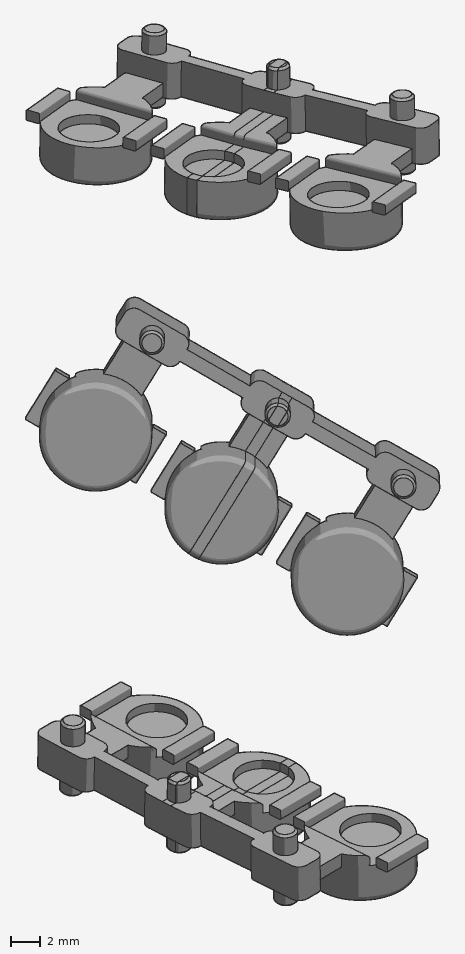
import cadquery as cq

pitch = 10.0
bend_angle = 1.0
strip_width = 0.78

cup_diameter = 7.7
deck_z = 3.0
cup_bottom_fillet = 0.45
pocket_diameter = 4.2
pocket_depth = 0.7
pocket_y = -0.98

wing_span = 8.82
wing_width = 1.07
wing_length = 4.05
wing_bottom_z = 2.85
wing_top_z = 3.65
wing_fillet = 0.12

tab_width = 3.03
tab_bottom_z = 2.8
tab_top_z = 3.85
step_y = 2.34
step_fillet = 0.32

pad_length = 5.0
pad_depth = 2.5
pad_y = 7.5
pad_bottom_z = 2.77
pad_top_z = 5.5
pad_corner_radius = 0.75
bar_depth = 0.98
pin_diameter = 1.7
pin_bottom_z = 1.33
pin_top_z = 7.12
pin_chamfer = 0.17

bend_z = (pad_bottom_z + deck_z) / 2
row_limit = 57.65


def block(x_size, y_size, z_bottom, z_top):
    """Box centred on the Z axis between two heights."""
    return cq.Workplane("XY").workplane(offset=z_bottom).rect(x_size, y_size).extrude(z_top - z_bottom)


def cylinder(diameter, z_bottom, z_top):
    """Upright cylinder on the Z axis between two heights."""
    return cq.Workplane("XY").workplane(offset=z_bottom).circle(diameter / 2).extrude(z_top - z_bottom)


def make_cup():
    cup = cylinder(cup_diameter, 0, deck_z).faces("<Z").edges().fillet(cup_bottom_fillet)
    pocket = cylinder(pocket_diameter, deck_z - pocket_depth, deck_z).translate((0, pocket_y, 0))
    return cup.cut(pocket)


def make_wings():
    wings = cq.Workplane("XY")
    for side in (-1, 1):
        wing = block(wing_width, wing_length, wing_bottom_z, wing_top_z)
        wing = wing.edges("|Y").fillet(wing_fillet)
        wings = wings.add(wing.translate((side * (wing_span - wing_width) / 2, 0, 0)))
    return wings.combine()


def make_tab():
    """Raised step over the back of the cup, and the neck that joins it to the pad."""
    step_depth = cup_diameter / 2
    step_bounds = block(cup_diameter, step_depth, tab_bottom_z, tab_top_z).faces(">Z").edges("<Y")
    step_bounds = step_bounds.fillet(step_fillet).translate((0, step_y + step_depth / 2, 0))
    step = cylinder(cup_diameter, tab_bottom_z, tab_top_z).intersect(step_bounds)
    neck = block(tab_width, pad_y - step_y - step_fillet, tab_bottom_z, tab_top_z)
    return step.union(neck.translate((0, (pad_y + step_y + step_fillet) / 2, 0)))


def make_pad():
    pad = block(pad_length, pad_depth, pad_bottom_z, pad_top_z).edges("|Z").fillet(pad_corner_radius)
    pin = cylinder(pin_diameter, pin_bottom_z, pin_top_z).faces("<Z or >Z").edges().chamfer(pin_chamfer)
    return pad.union(pin).translate((0, pad_y, 0))


def make_key():
    return make_cup().union(make_wings()).union(make_tab()).union(make_pad())


def make_side(key):
    """Left part of the row, raised outward about the left edge of the middle strip."""
    strip_edge = -strip_width / 2
    bar = block(pitch, bar_depth, pad_bottom_z, pad_top_z).translate((-pitch / 2, pad_y, 0))
    side = key.union(bar).union(key.translate((-pitch, 0, 0)))
    side = side.rotate((strip_edge, 0, bend_z), (strip_edge, 1, bend_z), bend_angle)
    left_of_strip = block(row_limit, row_limit, -row_limit, row_limit)
    return side.intersect(left_of_strip.translate((strip_edge - row_limit / 2, 0, 0)))


key = make_key()
left_side = make_side(key)
right_side = left_side.mirror("YZ")
middle_strip = key.intersect(block(strip_width, row_limit, -row_limit, row_limit))
result = middle_strip.union(left_side).union(right_side)